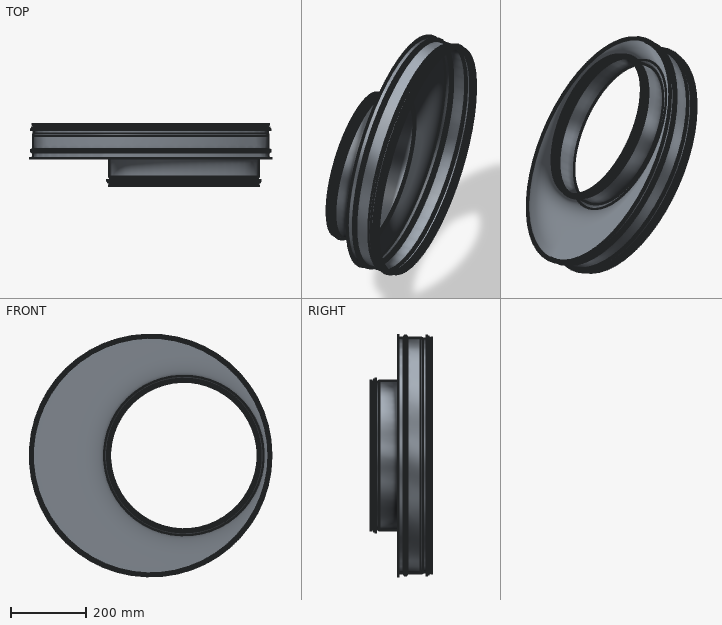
import cadquery as cq
import math


sheet = 0.5
total_length = 164.5

large_bore = 627.7
large_groove_bore = 622.9
large_end = 91.0

bead_dia = 639.1
bead_center = 20.0
bead_crown_half = 2.5
bead_base_half = 4.8

hem_dia = 643.2
hem_inner_dia = 631.7
hem_thickness = 3 * sheet
hem_fold = hem_thickness / 2
bend_inner = 0.5
bend_outer = bend_inner + sheet

plate_front = sheet
plate_dia = hem_dia - 2 * hem_fold

small_bore = 397.8
small_groove_bore = 393.0
small_flange_dia = 424.8
small_offset = 88.5
small_end = large_end - total_length

lip_growth = 1.0
lip_length = 1.0
groove_start = 2.5
large_groove_end = 25.0
large_ramp_end = 31.0
small_groove_end = 21.5
small_ramp_end = 25.0

large_strip_start = 7.5
small_strip_start = 5.7
strip_end = 15.5
strip_thickness = 0.6
fin_thickness = 1.2
low_fin_root = 8.0
low_fin_height = 4.5
high_fin_root = 12.0
high_fin_height = 7.0
fin_lean = 2.0


def revolve_about_y(profile):
    """Close a (radius, Y) profile and revolve it about the Y axis."""
    return profile.close().revolve(360, (0, 0), (0, 1))


def groove_points(bore, groove_bore, end, inward, groove_end, ramp_end, offset=0):
    """Points of the lip and groove from the open end to the plain wall, offset out from the bore."""
    lip_radius = (bore + lip_growth) / 2
    groove_radius = groove_bore / 2
    step_angle = math.atan2(lip_radius - groove_radius, groove_start - lip_length)
    step_shift = offset * math.tan(step_angle / 2)
    stations = [
        (lip_radius, 0),
        (lip_radius, lip_length + step_shift),
        (groove_radius, groove_start + step_shift),
        (groove_radius, groove_end),
        (bore / 2, ramp_end),
    ]
    return [(radius + offset, end + inward * distance) for radius, distance in stations]


def large_groove_points(offset=0):
    return groove_points(
        large_bore, large_groove_bore, large_end, -1, large_groove_end, large_ramp_end, offset
    )


def small_groove_points(offset=0):
    return groove_points(
        small_bore, small_groove_bore, small_end, 1, small_groove_end, small_ramp_end, offset
    )


def add_outside(profile, outside_points):
    """Run a profile back along the outside of the groove to the open end."""
    for radius, y in reversed(outside_points):
        profile = profile.lineTo(radius, y)
    return profile


def make_large_collar():
    inner = large_bore / 2
    outer = inner + sheet
    diagonal = math.sqrt(0.5)

    bead_top = bead_dia / 2
    shoulder = bead_top - bead_crown_half
    inner_crown_half = bead_crown_half - sheet
    inner_base_half = bead_base_half - sheet

    hem_outer = hem_dia / 2
    fold_start = hem_outer - hem_fold
    plate_back = plate_front + sheet
    bend_radius = inner + bend_outer
    bend_y = plate_back + bend_outer

    profile = (
        cq.Workplane("XY")
        .polyline(large_groove_points())
        .lineTo(inner, bead_center + inner_base_half)
        .lineTo(shoulder, bead_center + inner_crown_half)
        .threePointArc((bead_top - sheet, bead_center), (shoulder, bead_center - inner_crown_half))
        .lineTo(inner, bead_center - inner_base_half)
        .lineTo(inner, bend_y)
        .threePointArc(
            (bend_radius - bend_outer * diagonal, bend_y - bend_outer * diagonal),
            (bend_radius, plate_back),
        )
        .lineTo(plate_dia / 2, plate_back)
        .lineTo(plate_dia / 2, plate_front)
        .lineTo(hem_inner_dia / 2, plate_front)
        .lineTo(hem_inner_dia / 2, 0)
        .lineTo(fold_start, 0)
        .threePointArc((hem_outer, hem_fold), (fold_start, hem_thickness))
        .lineTo(bend_radius, hem_thickness)
        .threePointArc(
            (bend_radius - bend_inner * diagonal, bend_y - bend_inner * diagonal),
            (outer, bend_y),
        )
        .lineTo(outer, bead_center - bead_base_half)
        .lineTo(shoulder, bead_center - bead_crown_half)
        .threePointArc((bead_top, bead_center), (shoulder, bead_center + bead_crown_half))
        .lineTo(outer, bead_center + bead_base_half)
    )
    return revolve_about_y(add_outside(profile, large_groove_points(sheet)))


def make_small_collar():
    inner = small_bore / 2
    flange_radius = small_flange_dia / 2
    flange_front = plate_front - sheet
    profile = (
        cq.Workplane("XY")
        .polyline(small_groove_points())
        .lineTo(inner, plate_front)
        .lineTo(flange_radius, plate_front)
        .lineTo(flange_radius, flange_front)
        .lineTo(inner + sheet, flange_front)
    )
    collar = revolve_about_y(add_outside(profile, small_groove_points(sheet)))
    return collar.translate((small_offset, 0, 0))


def make_end_plate():
    return (
        cq.Workplane("XZ", origin=(0, plate_front, 0))
        .circle(plate_dia / 2)
        .moveTo(small_offset, 0)
        .circle(small_bore / 2)
        .extrude(-sheet)
    )


def make_seal(groove_bore, end, inward, strip_start):
    """Strip on the groove floor with two fins that lean away from the open end."""
    floor = groove_bore / 2 + sheet
    top = floor + strip_thickness
    stations = [(floor, strip_start), (top, strip_start)]
    for root, height in ((low_fin_root, low_fin_height), (high_fin_root, high_fin_height)):
        tip = root + fin_lean
        stations += [
            (top, root),
            (top + height, tip),
            (top + height, tip + fin_thickness),
            (top, root + fin_thickness),
        ]
    stations += [(top, strip_end), (floor, strip_end)]
    points = [(radius, end + inward * distance) for radius, distance in stations]
    return revolve_about_y(cq.Workplane("XY").polyline(points))


large_collar = make_large_collar()
small_collar = make_small_collar()
end_plate = make_end_plate()
large_seal = make_seal(large_groove_bore, large_end, -1, large_strip_start)
small_seal = make_seal(small_groove_bore, small_end, 1, small_strip_start).translate((small_offset, 0, 0))

result = cq.Compound.makeCompound([
    large_collar.val(),
    small_collar.val(),
    end_plate.val(),
    large_seal.val(),
    small_seal.val(),
])